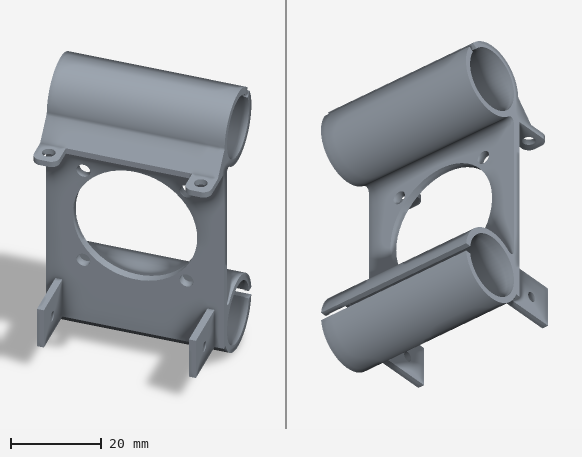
import cadquery as cq
import math

width = 41.4
height = 68.2
front_y = -21.95

tube_radius = 9.0
bore_radius = 7.6
stop_bore_radius = 7.35
stop_length = 1.0
slit_width = 2.0
upper_slit_angle = 36.7
tube_z = height / 2 - tube_radius
blend_radius = 1.0

plate_back_y = -7.5
plate_front_y = -9.5
plate_bottom_z = -28.45
fan_hole_diameter = 29.0
screw_hole_diameter = 3.2
screw_spacing = 24.0

lug_thickness = 1.4
lug_bottom_z = 18.7
lug_top_z = lug_bottom_z + lug_thickness
lug_width = 6.0
lug_front_y = -19.5
lug_corner_radius = 2.0
lug_hole_diameter = 3.0
gusset_front_y = -13.5
gusset_angle = 48

fin_thickness = 1.65
fin_height = 10.0
fin_hole_diameter = 2.4
fin_hole_z = -23.8

mount_hole_y = -16.3
mount_x = width / 2 - lug_width / 2


def x_cylinder(radius, z, start_x, length):
    plane = cq.Workplane("YZ", origin=(start_x, 0, z))
    return plane.circle(radius).extrude(length)


def x_prism(outline):
    return outline.extrude(width / 2, both=True)


def plate():
    depth = plate_back_y - plate_front_y
    plate_height = lug_top_z - plate_bottom_z
    return cq.Workplane("XY").box(width, depth, plate_height, centered=(True, False, False)).translate(
        (0, plate_front_y, plate_bottom_z)
    )


def lower_web():
    """Flat-bottomed web joining the plate to the lower tube."""
    return x_prism(
        cq.Workplane("YZ")
        .moveTo(plate_front_y, plate_bottom_z)
        .lineTo(0, plate_bottom_z)
        .lineTo(0, -tube_z)
        .lineTo(plate_front_y, -tube_z)
        .close()
    )


def gusset():
    """Sloping web from the upper tube down to the lugs, blended into the tube."""
    slope = math.radians(gusset_angle)
    normal_y = -math.sin(slope)
    normal_z = math.cos(slope)
    slope_offset = gusset_front_y * normal_y + (lug_top_z - tube_z) * normal_z
    reach = tube_radius + blend_radius
    across = slope_offset + blend_radius
    along = math.sqrt(reach**2 - across**2)
    center_y = across * normal_y - along * normal_z
    center_rise = across * normal_z + along * normal_y
    center_z = tube_z + center_rise
    slope_contact = (center_y - blend_radius * normal_y, center_z - blend_radius * normal_z)
    tube_contact = (center_y * tube_radius / reach, tube_z + center_rise * tube_radius / reach)
    slope_direction = math.atan2(-normal_z, -normal_y)
    tube_direction = math.atan2(-center_rise, -center_y)
    bisector = (slope_direction + tube_direction) / 2
    middle = (center_y + blend_radius * math.cos(bisector), center_z + blend_radius * math.sin(bisector))
    return x_prism(
        cq.Workplane("YZ")
        .moveTo(plate_back_y, lug_bottom_z)
        .lineTo(gusset_front_y, lug_bottom_z)
        .lineTo(gusset_front_y, lug_top_z)
        .lineTo(*slope_contact)
        .threePointArc(middle, tube_contact)
        .lineTo(0, tube_z)
        .close()
    )


def back_blend(side):
    """Round the corner between plate and tube; side is +1 for the upper tube, -1 for the lower."""
    center_y = plate_back_y + blend_radius
    reach = tube_radius + blend_radius
    center_rise = math.sqrt(reach**2 - center_y**2)
    center_z = side * (tube_z - center_rise)
    tube_y = center_y * tube_radius / reach
    tube_contact_z = side * (tube_z - center_rise * tube_radius / reach)
    bisector = (math.pi + math.atan2(center_rise, -center_y)) / 2
    middle = (
        center_y + blend_radius * math.cos(bisector),
        center_z + side * blend_radius * math.sin(bisector),
    )
    return x_prism(
        cq.Workplane("YZ")
        .moveTo(plate_back_y, center_z)
        .threePointArc(middle, (tube_y, tube_contact_z))
        .lineTo(0, side * tube_z)
        .lineTo(plate_back_y, side * tube_z)
        .close()
    )


def bore(z):
    """Through bore, narrowed at the +X end to leave a stop for the rod."""
    through_hole = x_cylinder(stop_bore_radius, z, -width / 2, width)
    return through_hole.union(x_cylinder(bore_radius, z, -width / 2, width - stop_length))


def slit(z, angle):
    cutter = cq.Workplane("XY").box(width, 2 * tube_radius, slit_width, centered=(True, False, True))
    return cutter.rotate((0, 0, 0), (1, 0, 0), angle).translate((0, 0, z))


def lug(x):
    length = gusset_front_y - lug_front_y
    return (
        cq.Workplane("XY")
        .box(lug_width, length, lug_thickness, centered=(True, False, False))
        .translate((x, lug_front_y, lug_bottom_z))
        .edges("|Z and <Y")
        .fillet(lug_corner_radius)
    )


def lug_hole(x):
    plane = cq.Workplane("XY", origin=(x, mount_hole_y, lug_bottom_z))
    return plane.circle(lug_hole_diameter / 2).extrude(lug_thickness)


def fin(x):
    length = plate_front_y - front_y
    blank = cq.Workplane("XY").box(fin_thickness, length, fin_height, centered=(True, False, False))
    hole = (
        cq.Workplane("YZ", origin=(x, mount_hole_y, fin_hole_z))
        .circle(fin_hole_diameter / 2)
        .extrude(fin_thickness, both=True)
    )
    return blank.translate((x, front_y, plate_bottom_z)).cut(hole)


def plate_holes():
    cutter_plane = cq.Workplane("XZ", origin=(0, plate_back_y, 0))
    depth = plate_back_y - plate_front_y
    fan_hole = cutter_plane.circle(fan_hole_diameter / 2).extrude(depth)
    screw_holes = (
        cutter_plane.rect(screw_spacing, screw_spacing, forConstruction=True)
        .vertices()
        .circle(screw_hole_diameter / 2)
        .extrude(depth)
    )
    return fan_hole.union(screw_holes)


result = plate().cut(plate_holes()).union(lower_web()).union(gusset())
for side in (1, -1):
    result = result.union(x_cylinder(tube_radius, side * tube_z, -width / 2, width))
    result = result.union(back_blend(side))
for side, slit_angle in ((1, upper_slit_angle), (-1, 0)):
    result = result.cut(bore(side * tube_z)).cut(slit(side * tube_z, slit_angle))
for x in (-mount_x, mount_x):
    result = result.union(lug(x)).cut(lug_hole(x)).union(fin(x))